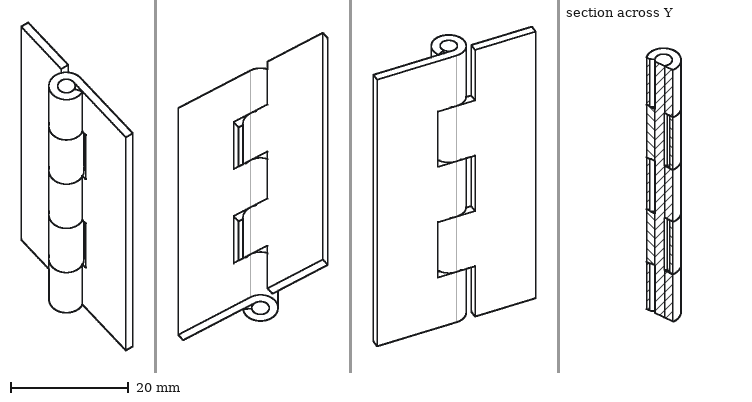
import cadquery as cq
import math

hinge_height = 58.0
hinge_width = 30.0
barrel_diameter = 6.0
sheet_thickness = 1.5
end_knuckle_height = 10.95
inner_knuckle_count = 3
notch_clearance = 0.5
curl_start_angle = 90.0
curl_end_angle = 29.0
full_turn = 360.0

barrel_radius = barrel_diameter / 2
pin_radius = barrel_radius - sheet_thickness
leaf_reach = hinge_width / 2
notch_edge = barrel_radius + notch_clearance
inner_knuckle_height = (hinge_height - 2 * end_knuckle_height) / inner_knuckle_count

knuckle_limits = [0.0, end_knuckle_height]
for _ in range(inner_knuckle_count):
    knuckle_limits.append(knuckle_limits[-1] + inner_knuckle_height)
knuckle_limits.append(hinge_height)
knuckle_spans = list(zip(knuckle_limits[:-1], knuckle_limits[1:]))


def polar_point(radius, angle):
    """Point on a circle around the pin axis, with the angle in degrees."""
    return (radius * math.cos(math.radians(angle)), radius * math.sin(math.radians(angle)))


def make_plate():
    """Flat part of a leaf on the +X side, ending at the notch edge."""
    return (
        cq.Workplane("XY")
        .moveTo(notch_edge, pin_radius)
        .lineTo(leaf_reach, pin_radius)
        .lineTo(leaf_reach, barrel_radius)
        .lineTo(notch_edge, barrel_radius)
        .close()
        .extrude(hinge_height)
    )


def make_knuckle(bottom, top):
    """Sheet that runs in from the plate and curls around the pin."""
    middle_angle = (curl_start_angle + full_turn + curl_end_angle) / 2
    return (
        cq.Workplane("XY", origin=(0, 0, bottom))
        .moveTo(notch_edge, barrel_radius)
        .lineTo(0, barrel_radius)
        .threePointArc(polar_point(barrel_radius, middle_angle), polar_point(barrel_radius, curl_end_angle))
        .lineTo(*polar_point(pin_radius, curl_end_angle))
        .threePointArc(polar_point(pin_radius, middle_angle), (0, pin_radius))
        .lineTo(notch_edge, pin_radius)
        .close()
        .extrude(top - bottom)
    )


def make_leaf(spans):
    """Leaf on the +X side with one knuckle for each Z span."""
    leaf = make_plate()
    for bottom, top in spans:
        leaf = leaf.union(make_knuckle(bottom, top))
    return leaf


right_leaf = make_leaf(knuckle_spans[0::2])
left_leaf = make_leaf(knuckle_spans[1::2]).mirror("YZ")
pin = cq.Workplane("XY").circle(pin_radius).extrude(hinge_height)

result = cq.Compound.makeCompound([right_leaf.val(), left_leaf.val(), pin.val()])